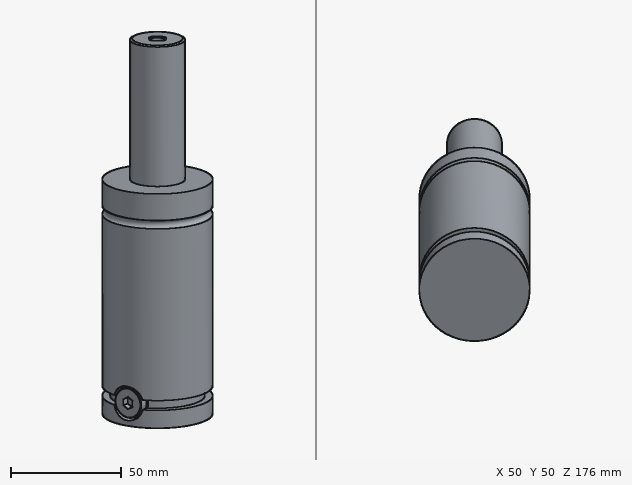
import cadquery as cq
import math

total_height = 176.0
body_height = 110.0
body_radius = 50.0 / 2
rod_radius = 25.0 / 2
rod_chamfer_width = 1.0
rod_chamfer_height = 0.5

upper_groove_radius = 2.0
upper_groove_z = body_height - 14.5

lower_groove_bottom = 8.5
lower_groove_top = 13.0
lower_groove_floor_radius = 43.0 / 2

rod_hole_diameter = 6.9
rod_hole_depth = 12.3
rod_hole_mouth_diameter = 8.1
drill_point_angle = 118.0

counterbore_radius = 16.0 / 2
counterbore_floor_y = -19.7
plug_radius = 14.0 / 2
plug_z = 10.5
plug_face_y = -24.3
plug_chamfer = 0.4
hex_across_flats = 5.0
hex_depth = 3.5


def make_cylinder_and_rod():
    """Revolve the body, both ring grooves and the chamfered rod about Z."""
    profile = (
        cq.Workplane("XZ")
        .lineTo(body_radius, 0)
        .lineTo(body_radius, lower_groove_bottom)
        .lineTo(lower_groove_floor_radius, lower_groove_bottom)
        .lineTo(lower_groove_floor_radius, lower_groove_top)
        .lineTo(body_radius, lower_groove_top)
        .lineTo(body_radius, upper_groove_z - upper_groove_radius)
        .threePointArc(
            (body_radius - upper_groove_radius, upper_groove_z),
            (body_radius, upper_groove_z + upper_groove_radius),
        )
        .lineTo(body_radius, body_height)
        .lineTo(rod_radius, body_height)
        .lineTo(rod_radius, total_height - rod_chamfer_height)
        .lineTo(rod_radius - rod_chamfer_width, total_height)
        .lineTo(0, total_height)
        .close()
    )
    return profile.revolve(360, (0, 0, 0), (0, 1, 0))


def make_rod_hole():
    """Blind drilled hole with a conical bottom and a 45 degree mouth."""
    hole_radius = rod_hole_diameter / 2
    mouth_radius = rod_hole_mouth_diameter / 2
    floor_z = total_height - rod_hole_depth
    tip_z = floor_z - hole_radius / math.tan(math.radians(drill_point_angle / 2))
    profile = (
        cq.Workplane("XZ")
        .moveTo(0, tip_z)
        .lineTo(hole_radius, floor_z)
        .lineTo(hole_radius, total_height - (mouth_radius - hole_radius))
        .lineTo(mouth_radius, total_height)
        .lineTo(0, total_height)
        .close()
    )
    return profile.revolve(360, (0, 0, 0), (0, 1, 0))


def plug_plane(y):
    """Workplane on the plug axis at the given Y, with its normal along -Y."""
    return cq.Workplane("XZ", origin=(0, y, plug_z))


def add_plug(part):
    """Counterbore the body and leave a chamfered hex-socket plug standing in it."""
    counterbore = plug_plane(counterbore_floor_y).circle(counterbore_radius).extrude(body_radius)
    plug = (
        plug_plane(counterbore_floor_y)
        .circle(plug_radius)
        .extrude(counterbore_floor_y - plug_face_y)
        .faces("<Y")
        .chamfer(plug_chamfer)
    )
    hex_across_corners = hex_across_flats / math.cos(math.pi / 6)
    socket = (
        plug_plane(plug_face_y + hex_depth)
        .transformed(rotate=(0, 0, 90))
        .polygon(6, hex_across_corners)
        .extrude(hex_depth)
    )
    return part.cut(counterbore).union(plug).cut(socket)


result = add_plug(make_cylinder_and_rod().cut(make_rod_hole()))